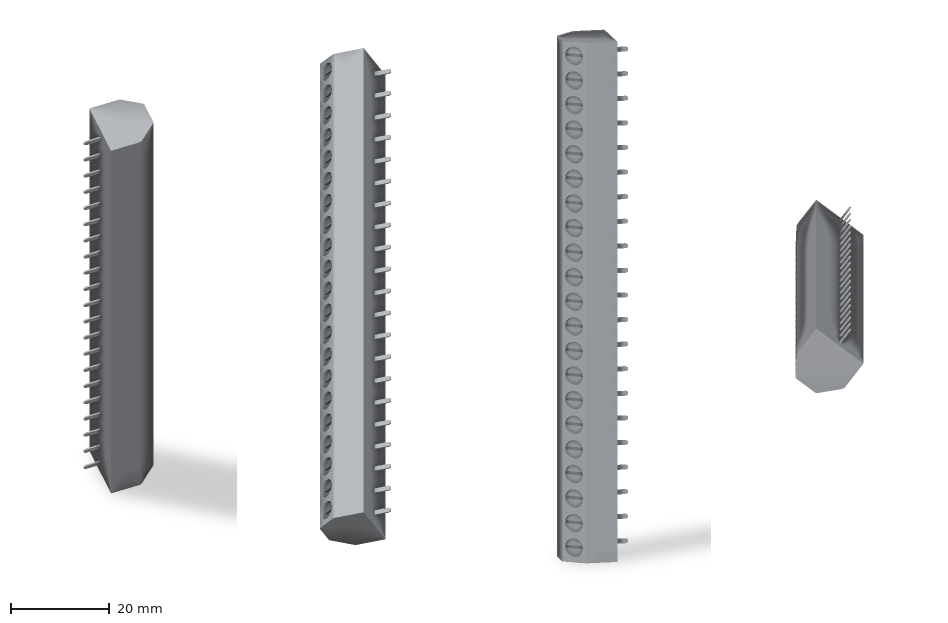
import cadquery as cq

length = 107.6
width = 12.0
body_height = 10.8
left_bevel_width = 2.9
right_bevel_width = 3.9
bevel_height = 4.2
shoulder_radius = 1.1
crest_radius = 0.4

pole_count = 21
top_margin = 2.9
bottom_margin = 3.0
pole_pitch = (length - top_margin - bottom_margin) / (pole_count - 1)

overall_height = 14.3
pin_length = overall_height - body_height
pin_thickness = 0.3
pin_width = 1.0
pin_tip_length = 0.4
pin_tip_bevel = 0.2

screw_diameter = 3.9
recess_depth = 0.9
slot_width = 0.6
slot_depth = 0.5

left = -width / 2
right = width / 2
shoulder_y = body_height - bevel_height
pole_heights = [bottom_margin + i * pole_pitch - length / 2 for i in range(pole_count)]


def make_housing():
    """Prism with both upper edges bevelled and the ends of the bevels rounded."""
    shoulders = [(left, shoulder_y), (right, shoulder_y)]
    crests = [(left + left_bevel_width, body_height), (right - right_bevel_width, body_height)]
    outline = [(left, 0), (right, 0), shoulders[1], crests[1], crests[0], shoulders[0]]
    base_plane = cq.Workplane("XY").workplane(offset=-length / 2)
    housing = base_plane.polyline(outline).close().extrude(length)
    for corners, radius in [(shoulders, shoulder_radius), (crests, crest_radius)]:
        for x, y in corners:
            housing = housing.edges(cq.NearestToPointSelector((x, y, 0))).fillet(radius)
    return housing


def make_pin(z):
    """Flat pin pointing along -Y, narrowed at its tip."""
    half = pin_width / 2
    tip_half = half - pin_tip_bevel
    outline = [
        (0, z - half),
        (0, z + half),
        (pin_tip_length - pin_length, z + half),
        (-pin_length, z + tip_half),
        (-pin_length, z - tip_half),
        (pin_tip_length - pin_length, z - half),
    ]
    return cq.Workplane("YZ").polyline(outline).close().extrude(pin_thickness / 2, both=True)


def make_screw_recess(z):
    """Round recess in the left bevel with a driver slot in its floor, spanning its diameter."""
    bevel_plane = cq.Plane(
        origin=(left + left_bevel_width / 2, body_height - bevel_height / 2, z),
        xDir=(left_bevel_width, bevel_height, 0),
        normal=(-bevel_height, left_bevel_width, 0),
    )
    recess = cq.Workplane(bevel_plane).circle(screw_diameter / 2).extrude(-recess_depth)
    slot_bottom = recess_depth + slot_depth
    slot = cq.Workplane(bevel_plane).rect(screw_diameter, slot_width).extrude(-slot_bottom)
    bore = cq.Workplane(bevel_plane).circle(screw_diameter / 2).extrude(-slot_bottom)
    return recess.union(slot.intersect(bore))


result = make_housing()
for pole_z in pole_heights:
    result = result.union(make_pin(pole_z))
    result = result.cut(make_screw_recess(pole_z))